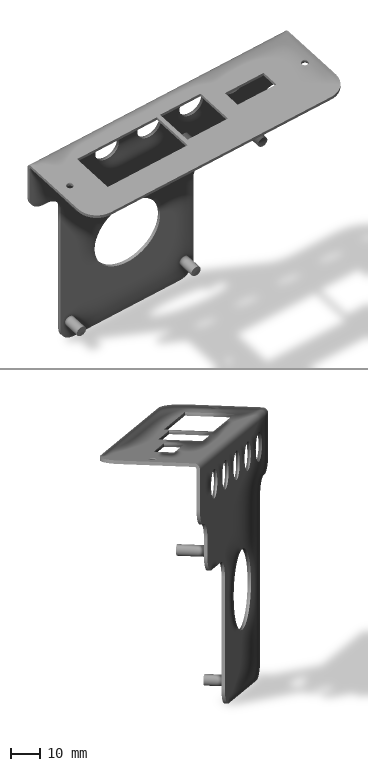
import cadquery as cq

length = 110.0
flange_depth = 36.4
wall_height = 91.0
thickness = 1.2
bend_outer_radius = 2.0
bend_inner_radius = bend_outer_radius - thickness

flange_corner_radius = 8.0
screw_hole_diameter = 2.4
screw_countersink_diameter = 2.8
screw_countersink_angle = 90
screw_hole_x = 17.5
screw_hole_y = 50.2
windows = [
    (13.1, 27.6, 7.2, 16.5),
    (8.2, 4.0, 15.4, 17.3),
    (8.6, -23.3, 17.3, 34.1),
]

wall_corner_radius = 5.9
shoulder_z = -22.0
ear_z = -40.0
ear_y = 43.0
leg_right_y = -41.9
leg_left_y = 14.8
leg_center_y = (leg_left_y + leg_right_y) / 2

row_hole_count = 5
row_hole_diameter = 10.1
row_first_y = -39.9
row_last_y = 32.0
row_z = -11.0

opening_diameter = 27.9
opening_y = -13.3
opening_z = -55.4

pin_diameter = 4.0
board_pin_reach = 7.9
board_pin_spacing_y = 49.0
board_pin_z_levels = (-25.0, -82.7)
ear_pin_reach = 12.0
ear_pin_y = 36.3
ear_pin_z = -33.5


def make_flange():
    """Flat top flange, starting where the bend ends."""
    flat_depth = flange_depth - bend_outer_radius
    flange = (
        cq.Workplane("XY")
        .box(flat_depth, length, thickness, centered=(False, True, False))
        .translate((bend_outer_radius, 0, -thickness))
        .edges("|Z and >X")
        .fillet(flange_corner_radius)
    )
    for near_x, center_y, width, window_length in windows:
        window = (
            cq.Workplane("XY")
            .box(width, window_length, 2 * thickness, centered=(False, True, True))
            .translate((near_x, center_y, -thickness / 2))
        )
        flange = flange.cut(window)
    return (
        flange.faces(">Z")
        .workplane(origin=(0, 0, 0))
        .pushPoints([(screw_hole_x, screw_hole_y), (screw_hole_x, -screw_hole_y)])
        .cskHole(screw_hole_diameter, screw_countersink_diameter, screw_countersink_angle)
    )


def make_bend():
    """Quarter-round bend joining the flange and the wall."""
    ring = (
        cq.Workplane("XZ", origin=(bend_outer_radius, 0, -bend_outer_radius))
        .circle(bend_outer_radius)
        .circle(bend_inner_radius)
        .extrude(length / 2, both=True)
    )
    quarter = (
        cq.Workplane("XY")
        .box(bend_outer_radius, length, bend_outer_radius, centered=(False, True, False))
        .translate((0, 0, -bend_outer_radius))
    )
    return ring.intersect(quarter)


def make_wall():
    """Stepped upright wall with rounded corners and its round holes."""
    half = length / 2
    outline = [
        (half, -bend_outer_radius),
        (half, shoulder_z),
        (ear_y, shoulder_z),
        (ear_y, ear_z),
        (leg_left_y, ear_z),
        (leg_left_y, -wall_height),
        (leg_right_y, -wall_height),
        (leg_right_y, shoulder_z),
        (-half, shoulder_z),
        (-half, -bend_outer_radius),
    ]
    wall = cq.Workplane("YZ").polyline(outline).close().extrude(thickness)
    wall = wall.edges("|X and (not >Z)").fillet(wall_corner_radius)

    row_pitch = (row_last_y - row_first_y) / (row_hole_count - 1)
    row_points = [(row_first_y + i * row_pitch, row_z) for i in range(row_hole_count)]
    row_holes = (
        cq.Workplane("YZ").pushPoints(row_points).circle(row_hole_diameter / 2).extrude(thickness)
    )
    opening = (
        cq.Workplane("YZ")
        .center(opening_y, opening_z)
        .circle(opening_diameter / 2)
        .extrude(thickness)
    )
    return wall.cut(row_holes).cut(opening)


def make_pins(points, reach):
    """Round pins at (Y, Z) points, rooted in the wall and ending at X = reach."""
    root_x = thickness / 2
    return (
        cq.Workplane("YZ", origin=(root_x, 0, 0))
        .pushPoints(points)
        .circle(pin_diameter / 2)
        .extrude(reach - root_x)
    )


board_pin_points = [
    (leg_center_y + side * board_pin_spacing_y / 2, z)
    for side in (-1, 1)
    for z in board_pin_z_levels
]

result = (
    make_wall()
    .union(make_bend())
    .union(make_flange())
    .union(make_pins(board_pin_points, board_pin_reach))
    .union(make_pins([(ear_pin_y, ear_pin_z)], ear_pin_reach))
)